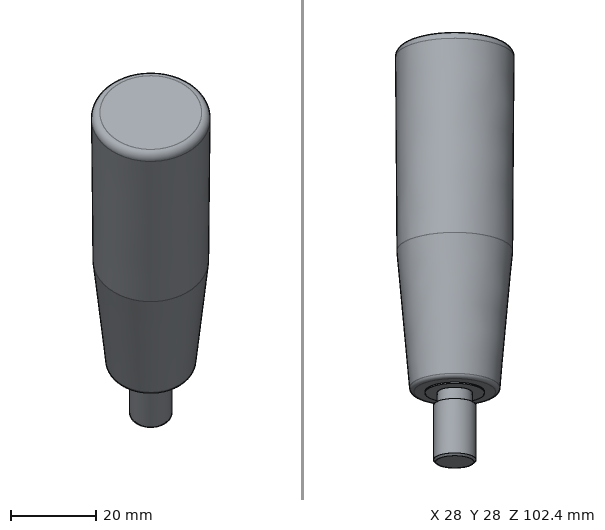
import cadquery as cq

TOTAL_HEIGHT = 102.4
HANDLE_BASE = 17.4
COLLAR_BASE = 17.1
SHANK_TOP = 14.0
BREAK_HEIGHT = 52.3

TOP_DIAMETER = 28.0
TOP_ROUND = 2.0
BREAK_DIAMETER = 27.2
BASE_DIAMETER = 21.1
BASE_ROUND = 1.0

SHANK_DIAMETER = 10.0
TIP_DIAMETER = 9.0
NECK_DIAMETER = 8.3
COLLAR_DIAMETER = 14.0


def make_handle():
    """Slightly tapered grip above a steeper taper, with rounded ends."""
    outline = (
        cq.Workplane("XZ")
        .moveTo(0, HANDLE_BASE)
        .lineTo(BASE_DIAMETER / 2, HANDLE_BASE)
        .lineTo(BREAK_DIAMETER / 2, BREAK_HEIGHT)
        .lineTo(TOP_DIAMETER / 2, TOTAL_HEIGHT)
        .lineTo(0, TOTAL_HEIGHT)
        .close()
    )
    grip = outline.revolve(360, (0, 0, 0), (0, 1, 0))
    return grip.faces(">Z").edges().fillet(TOP_ROUND).faces("<Z").edges().fillet(BASE_ROUND)


def make_spindle():
    """Stepped spindle: chamfered shank, neck and collar seated under the handle."""
    shank = cq.Workplane("XY").circle(SHANK_DIAMETER / 2).extrude(SHANK_TOP)
    shank = shank.faces("<Z").edges().chamfer((SHANK_DIAMETER - TIP_DIAMETER) / 2)
    neck = (
        cq.Workplane("XY", origin=(0, 0, SHANK_TOP))
        .circle(NECK_DIAMETER / 2)
        .extrude(COLLAR_BASE - SHANK_TOP)
    )
    collar = (
        cq.Workplane("XY", origin=(0, 0, COLLAR_BASE))
        .circle(COLLAR_DIAMETER / 2)
        .extrude(HANDLE_BASE - COLLAR_BASE)
    )
    return shank.union(neck).union(collar)


handle = make_handle()
spindle = make_spindle()

result = cq.Compound.makeCompound([handle.val(), spindle.val()])